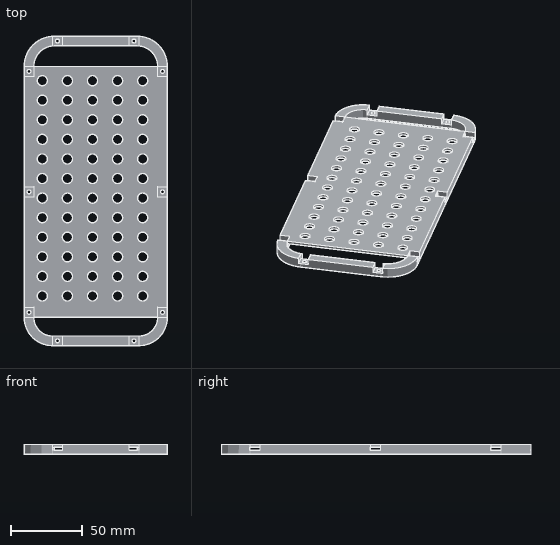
import cadquery as cq

width = 100.0
length = 216.0
height = 7.0
rail_width = 7.0
front_corner_radius = 19.9

plate_length = 175.0
plate_thickness = 2.0
plate_front_y = -length / 2 + front_corner_radius
plate_back_y = plate_front_y + plate_length
plate_center_y = (plate_front_y + plate_back_y) / 2
back_corner_radius = length / 2 - plate_back_y

hole_diameter = 7.0
hole_columns = 5
hole_rows = 12
left_margin = 12.7
right_margin = 17.3
back_margin = 10.0
front_margin = 15.0
column_pitch = (width - left_margin - right_margin) / (hole_columns - 1)
row_pitch = (plate_length - back_margin - front_margin) / (hole_rows - 1)

notch_size = rail_width
notch_depth = 2 * plate_thickness
screw_hole_diameter = 2.5

side_notch_x = (width - rail_width) / 2
side_notch_pitch = (plate_length - notch_size) / 2
end_notch_x = width / 2 - front_corner_radius - notch_size / 2
end_notch_y = (length - rail_width) / 2


def rounded_block(inset):
    """Full-height block with rounded vertical corners, set in from the outer outline of the frame."""
    return (
        cq.Workplane("XY")
        .rect(width - 2 * inset, length - 2 * inset)
        .extrude(height)
        .edges("|Z and <Y")
        .fillet(front_corner_radius - inset)
        .edges("|Z and >Y")
        .fillet(back_corner_radius - inset)
    )


def make_frame():
    return rounded_block(0).cut(rounded_block(rail_width))


def make_plate():
    return (
        cq.Workplane("XY")
        .workplane(offset=height - plate_thickness)
        .center(0, plate_center_y)
        .rect(width, plate_length)
        .extrude(plate_thickness)
    )


def grid_hole_centers():
    first_x = -width / 2 + left_margin
    first_y = plate_back_y - back_margin
    return [
        (first_x + column * column_pitch, first_y - row * row_pitch)
        for column in range(hole_columns)
        for row in range(hole_rows)
    ]


def notch_centers():
    side = [
        (x, plate_center_y + step * side_notch_pitch)
        for x in (-side_notch_x, side_notch_x)
        for step in (-1, 0, 1)
    ]
    ends = [(x, y) for x in (-end_notch_x, end_notch_x) for y in (-end_notch_y, end_notch_y)]
    return side + ends


def through_holes(centers, diameter):
    return cq.Workplane("XY").pushPoints(centers).circle(diameter / 2).extrude(height)


def notch_cutters():
    return (
        cq.Workplane("XY")
        .workplane(offset=height - notch_depth)
        .pushPoints(notch_centers())
        .rect(notch_size, notch_size)
        .extrude(notch_depth)
    )


result = (
    make_frame()
    .union(make_plate())
    .cut(through_holes(grid_hole_centers(), hole_diameter))
    .cut(notch_cutters())
    .cut(through_holes(notch_centers(), screw_hole_diameter))
)